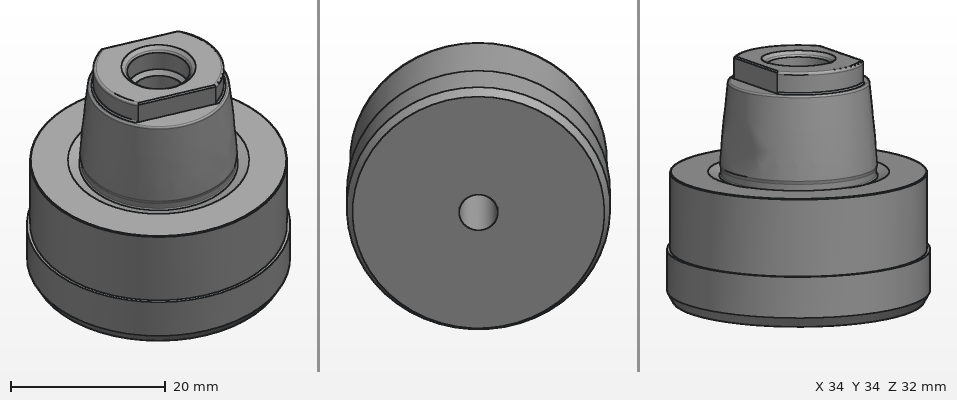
import cadquery as cq
import math

total_height = 31.95
collar_height = 6.75
body_top = 17.0
shoulder_z = 29.0

collar_radius = 17.01
collar_chamfer_height = 1.35
collar_chamfer_width = 0.75
body_radius = 16.6
body_edge_chamfer = 0.12

dish_radius = 11.7
dish_floor_radius = 10.25
dish_depth = 0.5

foot_radius = 10.05
foot_fillet = dish_floor_radius - foot_radius
foot_top_z = 17.5
neck_bottom_radius = 10.15
neck_bottom_z = 17.95
neck_bulge = 0.09
neck_top_radius = 9.17
shoulder_edge_fillet = 0.25

tip_radius = 8.45
tip_root_fillet = 0.23
tip_edge_fillet = 0.37
flat_spacing = 13.0
flat_edge_chamfer = 0.2

hole_mouth_radius = 4.8
counterbore_top_radius = 4.3
mouth_depth = 0.4
counterbore_radius = 4.05
counterbore_lead_depth = 0.7
counterbore_depth = 3.35
middle_bore_radius = 3.45
middle_bore_bottom_z = body_top
bore_radius = 2.5
drill_point_angle = 118


def make_outside():
    """Revolve the whole outer shape, with the tip still fully round."""
    dish_floor_z = body_top - dish_depth
    neck_top_z = shoulder_z - shoulder_edge_fillet
    neck_middle = (
        (neck_bottom_radius + neck_top_radius) / 2 + neck_bulge,
        (neck_bottom_z + neck_top_z) / 2,
    )
    profile = (
        cq.Workplane("XZ")
        .lineTo(collar_radius - collar_chamfer_width, 0)
        .lineTo(collar_radius, collar_chamfer_height)
        .lineTo(collar_radius, collar_height)
        .lineTo(body_radius, collar_height)
        .lineTo(body_radius, body_top - body_edge_chamfer)
        .lineTo(body_radius - body_edge_chamfer, body_top)
        .lineTo(dish_radius, body_top)
        .lineTo(dish_floor_radius, dish_floor_z)
        .radiusArc((foot_radius, dish_floor_z + foot_fillet), foot_fillet)
        .lineTo(foot_radius, foot_top_z)
        .lineTo(neck_bottom_radius, neck_bottom_z)
        .threePointArc(neck_middle, (neck_top_radius, neck_top_z))
        .radiusArc((neck_top_radius - shoulder_edge_fillet, shoulder_z), -shoulder_edge_fillet)
        .lineTo(tip_radius + tip_root_fillet, shoulder_z)
        .radiusArc((tip_radius, shoulder_z + tip_root_fillet), tip_root_fillet)
        .lineTo(tip_radius, total_height - tip_edge_fillet)
        .radiusArc((tip_radius - tip_edge_fillet, total_height), -tip_edge_fillet)
        .lineTo(0, total_height)
        .close()
    )
    return profile.revolve(360, (0, 0), (0, 1))


def cut_flat(part, side):
    """Cut one flat on the tip; side is +1 or -1 along X."""
    flat_x = flat_spacing / 2
    cutter = (
        cq.Workplane("XZ")
        .moveTo(side * collar_radius, shoulder_z)
        .lineTo(side * flat_x, shoulder_z)
        .lineTo(side * flat_x, total_height - flat_edge_chamfer)
        .lineTo(side * (flat_x - flat_edge_chamfer), total_height)
        .lineTo(side * collar_radius, total_height)
        .close()
        .extrude(collar_radius, both=True)
    )
    return part.cut(cutter)


def make_hole():
    """Revolve the stepped through hole: small bore, middle bore and counterbore with its mouth."""
    ledge_drop = counterbore_radius - middle_bore_radius
    drill_point_drop = (middle_bore_radius - bore_radius) / math.tan(math.radians(drill_point_angle / 2))
    return (
        cq.Workplane("XZ")
        .lineTo(bore_radius, 0)
        .lineTo(bore_radius, middle_bore_bottom_z - drill_point_drop)
        .lineTo(middle_bore_radius, middle_bore_bottom_z)
        .lineTo(middle_bore_radius, total_height - counterbore_depth - ledge_drop)
        .lineTo(counterbore_radius, total_height - counterbore_depth)
        .lineTo(counterbore_radius, total_height - counterbore_lead_depth)
        .lineTo(counterbore_top_radius, total_height - mouth_depth)
        .lineTo(hole_mouth_radius, total_height)
        .lineTo(0, total_height)
        .close()
        .revolve(360, (0, 0), (0, 1))
    )


result = make_outside()
for flat_side in (-1, 1):
    result = cut_flat(result, flat_side)
result = result.cut(make_hole())